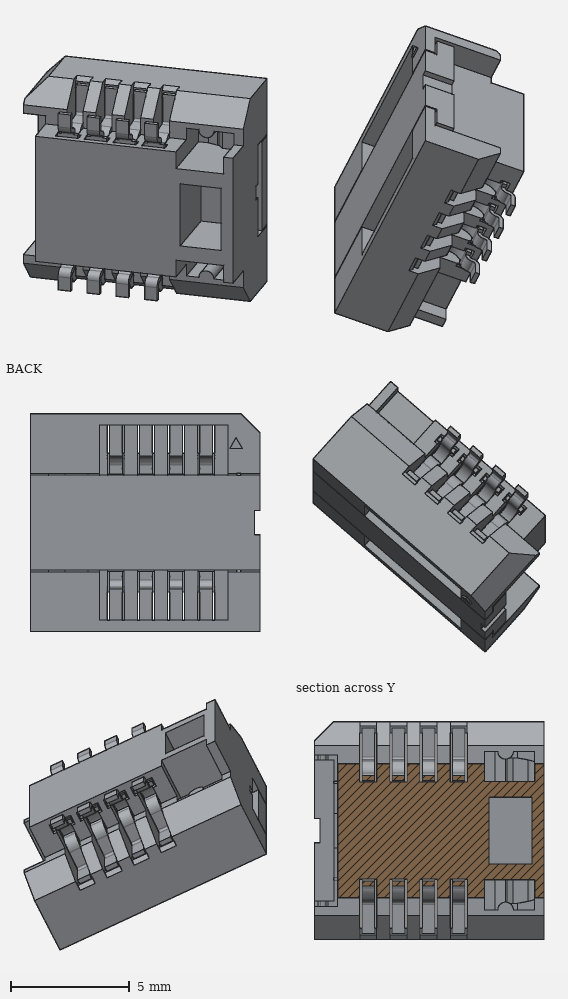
import cadquery as cq
import math


length = 9.7
half_height = 4.6
plate_depth = 3.45
front_bevel = 1.01
corner_bevel = 0.805

block_left = 0.98
block_half_height = 2.83
block_depth = 4.95

recess_half_height = 3.2
back_lip = 0.46
passage_half_height = 2.08
passage_depth = 1.59
end_wall = 0.78
end_window_half_height = 0.31

chamber_left = 1.36
chamber_right = 6.79
chamber_half_height = 4.11

slider_wing_length = 0.82
slider_wing_half_height = 2.98
slider_wing_back = 0.53
slider_front = 1.32
slider_stem_front = 0.78
slider_stem_half_height = 2.01
slider_notch_length = 0.23
slider_notch_half_height = 0.5
tongue_half_height = 0.73
tongue_front = 1.5
tongue_end = 1.16
rail_start = 7.275
rail_end = 8.245

rib_start = 0.15
rib_end = 0.58
rib_step = 0.09
rib_ramp = 0.12
rib_height = 0.165

latch_left = 7.19
latch_right = 9.29
latch_inner = 2.08
latch_outer = 3.35
latch_floor = 1.7
latch_bump_x = 8.07
latch_bump_radius = 0.33
window_left = 7.37
window_right = 9.18
window_half_height = 1.41
window_floor = 1.94

terminal_count = 4
terminal_pitch = 1.27
first_terminal_x = 2.28
terminal_width = 0.55
terminal_thickness = 0.2
terminal_front = 5.0
foot_tip = 4.0
foot_bend_start = 2.95
foot_bend_radius = 0.22
post_back = 2.19
post_top = 4.34
shoulder_width = 0.89
shoulder_top = 2.93
slot_width = 0.71
slot_lead_in = 0.18
slot_floor = 2.06
through_front = 2.8
funnel_width = 1.01
funnel_length = 0.43
funnel_drop = 0.12

mark_x = 1.02
mark_width = 0.52
mark_top = 3.59
mark_bottom = 3.13
mark_height = 0.08

foot_back = terminal_front - 2 * foot_bend_radius - terminal_thickness
foot_front = foot_back + terminal_thickness
funnel_floor = block_half_height - funnel_drop
diagonal = math.sqrt(0.5)


def box(x0, x1, depth0, depth1, z0, z1):
    """Box between two x places, two depths and two z places."""
    corner = cq.Workplane("XY", origin=(x0, -depth1, z0))
    return corner.box(x1 - x0, depth1 - depth0, z1 - z0, centered=False)


def centred_box(x0, x1, depth0, depth1, z_half):
    """Box centred on z = 0."""
    return box(x0, x1, depth0, depth1, -z_half, z_half)


def with_mirror(shape):
    """The shape together with its mirror image below z = 0."""
    return shape.union(shape.mirror("XY"))


def side_sketch(x_centre, width):
    """Plane for (depth, z) outlines, set so that extrude(width) is centred on x_centre."""
    plane = cq.Plane(origin=(x_centre + width / 2, 0, 0), xDir=(0, -1, 0), normal=(-1, 0, 0))
    return cq.Workplane(plane)


def depth_sketch(z_bottom):
    """Plane for (x, -depth) outlines, starting at z_bottom and extruded upwards."""
    return cq.Workplane("XY").workplane(offset=z_bottom)


def housing():
    bevel_start = plate_depth - front_bevel
    bevel_end = half_height - front_bevel
    plate = (
        side_sketch(length / 2, length)
        .polyline(
            [
                (0, -half_height),
                (bevel_start, -half_height),
                (plate_depth, -bevel_end),
                (plate_depth, bevel_end),
                (bevel_start, half_height),
                (0, half_height),
            ]
        )
        .close()
        .extrude(length)
    )
    corner = (
        cq.Workplane("XZ")
        .polyline([(0, half_height), (corner_bevel, half_height), (0, half_height - corner_bevel)])
        .close()
        .extrude(plate_depth)
    )
    block = centred_box(block_left, length, 0, block_depth, block_half_height)
    return plate.cut(corner).union(block)


def slider_space():
    recess = centred_box(0, block_left, back_lip, plate_depth, recess_half_height)
    passage = centred_box(0, length - end_wall, 0, passage_depth, passage_half_height)
    end_opening = centred_box(0, length, 0, slider_front, passage_half_height)
    end_window = centred_box(0, length, 0, passage_depth, end_window_half_height)
    chamber = centred_box(chamber_left, chamber_right, 0, post_back, chamber_half_height)
    return recess.union(passage).union(end_opening).union(end_window).union(chamber)


def slider():
    wing = centred_box(0, slider_wing_length, slider_wing_back, slider_front, slider_wing_half_height)
    neck = centred_box(0, slider_wing_length, 0, slider_front, slider_stem_half_height)
    stem = centred_box(0, length, 0, slider_stem_front, slider_stem_half_height)
    rails = centred_box(rail_start, rail_end, slider_wing_back, slider_stem_front, passage_half_height)
    tongue = centred_box(slider_wing_length, tongue_end, 0, tongue_front, tongue_half_height)
    notch = centred_box(0, slider_notch_length, 0, slider_front, slider_notch_half_height)
    return wing.union(neck).union(stem).union(rails).union(tongue).cut(notch)


def detent_ribs():
    step = rib_end - rib_step
    rib = (
        depth_sketch(slider_wing_half_height)
        .moveTo(rib_start, -back_lip)
        .lineTo(rib_start + rib_ramp, -back_lip - rib_ramp)
        .threePointArc(
            ((rib_start + rib_ramp + step) / 2, -back_lip - rib_height),
            (step, -back_lip - rib_ramp),
        )
        .lineTo(rib_end, -back_lip - rib_ramp)
        .lineTo(rib_end, -back_lip)
        .close()
        .extrude(recess_half_height - slider_wing_half_height)
    )
    return with_mirror(rib)


def latch_recesses():
    recess = box(latch_left, latch_right, latch_floor, block_depth, latch_inner, latch_outer)
    bump = (
        cq.Workplane("XZ")
        .center(latch_bump_x, latch_outer)
        .circle(latch_bump_radius)
        .extrude(plate_depth)
    )
    return with_mirror(recess.cut(bump))


def latch_cams():
    """Stepped cams on the floors of the latch recesses."""
    ramp_start = 7.63
    ramp_end = 8.07
    ramp_depth = 1.84
    rise_start = 8.14
    rise_middle = 8.245
    rise_middle_depth = 1.97
    top_start = 8.38
    top_end = 9.02
    cam_depth = 2.13
    dip = 0.04
    step_end = 8.57
    cam_left_top = 3.07
    crest_middle = 8.92
    crest_middle_top = 3.01
    cam_right_top = 2.91
    cam = (
        depth_sketch(latch_inner)
        .moveTo(ramp_start, -latch_floor)
        .lineTo(ramp_end, -ramp_depth)
        .lineTo(rise_start, -ramp_depth)
        .threePointArc((rise_middle, -rise_middle_depth), (top_start, -cam_depth))
        .lineTo(top_end, -cam_depth)
        .threePointArc(((top_end + latch_right) / 2, -cam_depth + dip), (latch_right, -cam_depth))
        .lineTo(latch_right, -latch_floor)
        .close()
        .extrude(latch_outer - latch_inner)
    )
    face = (
        cq.Workplane("XZ")
        .moveTo(ramp_start, latch_inner)
        .lineTo(ramp_start, latch_outer)
        .lineTo(rise_start, latch_outer)
        .lineTo(rise_start, cam_left_top)
        .lineTo(step_end, cam_left_top)
        .threePointArc((crest_middle, crest_middle_top), (latch_right, cam_right_top))
        .lineTo(latch_right, latch_inner)
        .close()
        .extrude(block_depth)
    )
    step = box(rise_start, step_end, latch_floor, ramp_depth, cam_left_top, latch_outer)
    return with_mirror(cam.intersect(face).union(step))


def terminal_slot(x):
    """Slot for one upper terminal, with the funnel around its shoulder."""
    slot = (
        side_sketch(x, slot_width)
        .polyline(
            [
                (post_back - slot_lead_in, half_height),
                (post_back, half_height - slot_lead_in),
                (post_back, 0),
                (through_front, 0),
                (through_front, slot_floor),
                (foot_back, slot_floor),
                (foot_back, half_height),
            ]
        )
        .close()
        .extrude(slot_width)
    )
    funnel = (
        cq.Workplane("XY", origin=(x, -(foot_back + foot_front) / 2, funnel_floor))
        .rect(shoulder_width, terminal_thickness)
        .workplane(offset=funnel_drop)
        .rect(funnel_width, funnel_length)
        .loft(ruled=True)
    )
    return slot.union(funnel)


def bent_foot(x):
    """Soldering foot: a strip that steps forward through two quarter bends."""
    outer = foot_bend_radius + terminal_thickness / 2
    inner = foot_bend_radius - terminal_thickness / 2
    bend_middle = foot_bend_start + foot_bend_radius
    bend_end = bend_middle + foot_bend_radius
    lower_centre = foot_back + outer
    upper_centre = terminal_front - outer
    return (
        side_sketch(x, terminal_width)
        .moveTo(foot_back, funnel_floor)
        .lineTo(foot_back, foot_bend_start)
        .threePointArc(
            (lower_centre - outer * diagonal, foot_bend_start + outer * diagonal),
            (lower_centre, foot_bend_start + outer),
        )
        .threePointArc(
            (upper_centre + inner * diagonal, bend_end - inner * diagonal),
            (upper_centre + inner, bend_end),
        )
        .lineTo(upper_centre + inner, foot_tip)
        .lineTo(terminal_front, foot_tip)
        .lineTo(terminal_front, bend_end)
        .threePointArc(
            (upper_centre + outer * diagonal, bend_end - outer * diagonal),
            (upper_centre, bend_end - outer),
        )
        .threePointArc(
            (lower_centre - inner * diagonal, foot_bend_start + inner * diagonal),
            (lower_centre - inner, foot_bend_start),
        )
        .lineTo(foot_front, funnel_floor)
        .close()
        .extrude(terminal_width)
    )


def contact(x):
    """Inner end of a terminal: a post, an arm curling down, and a return up to the foot."""
    t = terminal_thickness
    post_front = post_back + t
    post_fillet = 0.11
    fillet_middle = post_fillet * (1 - diagonal)
    arm_start = post_front + post_fillet
    arm_start_top = 3.01
    arm_end = 3.22
    arm_end_top = 2.93
    curl_middle = 3.61
    curl_middle_top = 2.745
    middle_shift = t * diagonal
    drop = 3.75
    drop_end = 2.425
    return_start = 3.79
    return_bottom = 2.26
    return_middle = 4.18
    return_middle_top = 2.425
    return (
        side_sketch(x, terminal_width)
        .moveTo(post_back, post_top)
        .lineTo(post_front, post_top)
        .lineTo(post_front, arm_start_top + post_fillet)
        .threePointArc(
            (post_front + fillet_middle, arm_start_top + fillet_middle),
            (arm_start, arm_start_top),
        )
        .lineTo(arm_end, arm_end_top)
        .threePointArc((curl_middle, curl_middle_top), (drop, drop_end))
        .lineTo(return_start, return_bottom)
        .threePointArc((return_middle, return_middle_top), (foot_back, funnel_floor))
        .lineTo(foot_front, funnel_floor)
        .threePointArc(
            (return_middle + middle_shift, return_middle_top - middle_shift),
            (return_start, return_bottom - t),
        )
        .lineTo(drop - t, return_bottom - t)
        .lineTo(drop - t, drop_end)
        .threePointArc(
            (curl_middle - middle_shift, curl_middle_top - middle_shift),
            (arm_end, arm_end_top - t),
        )
        .lineTo(post_back, arm_start_top - t)
        .close()
        .extrude(terminal_width)
    )


def terminal(x):
    half_shoulder = shoulder_width / 2
    shoulder = box(
        x - half_shoulder,
        x + half_shoulder,
        foot_back,
        foot_front,
        funnel_floor,
        shoulder_top,
    )
    return contact(x).union(bent_foot(x)).union(shoulder)


def corner_mark():
    return (
        cq.Workplane("XZ")
        .polyline(
            [
                (mark_x - mark_width / 2, mark_bottom),
                (mark_x + mark_width / 2, mark_bottom),
                (mark_x, mark_top),
            ]
        )
        .close()
        .extrude(-mark_height)
    )


result = housing().cut(slider_space())
result = result.cut(latch_recesses()).union(latch_cams())
result = result.cut(centred_box(window_left, window_right, window_floor, block_depth, window_half_height))
result = result.union(detent_ribs()).union(slider()).union(corner_mark())
for index in range(terminal_count):
    terminal_x = first_terminal_x + index * terminal_pitch
    result = result.cut(with_mirror(terminal_slot(terminal_x)))
    result = result.union(with_mirror(terminal(terminal_x)))